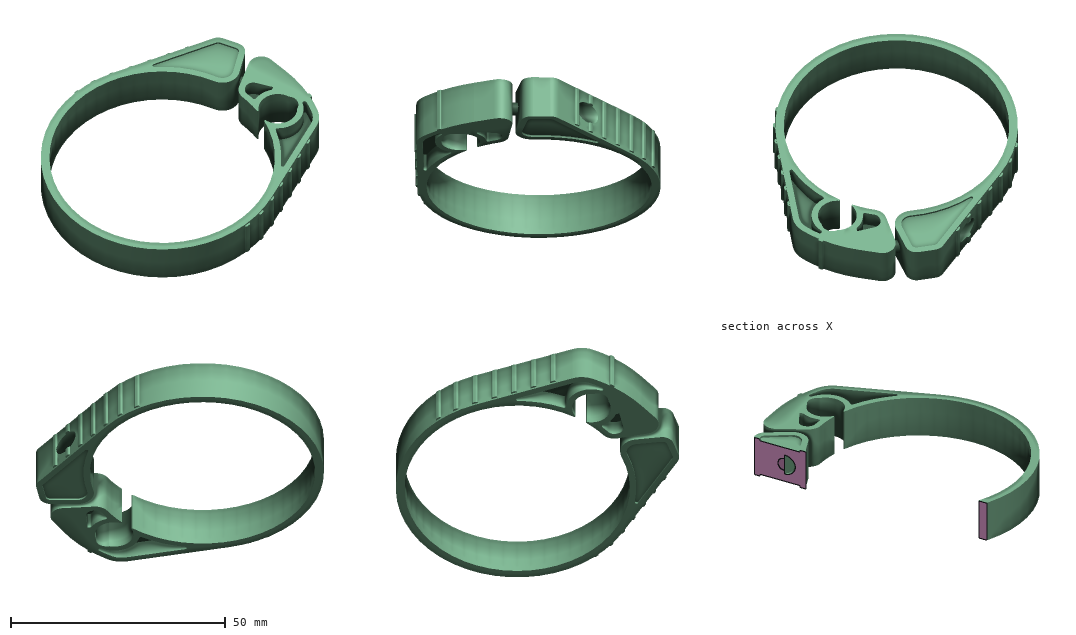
import cadquery as cq
import math


HEIGHT = 10.0
BORE_RADIUS = 26.2
RING_RADIUS = 28.2
SMALL_ROUND = 0.44
WALL = 1.5
FLANK_TILT = 20.0
FAR = 134.4

LEFT_FLANK_ANGLE = 180 - FLANK_TILT
HEAD_TOP_ANGLE = 112.0
HEAD_TOP_DISTANCE = 39.0
HEAD_FACE_ANGLE = 33.0
HEAD_FACE_DISTANCE = 11.8
HEAD_TOP_ROUND = 2.7
HEAD_INNER_ROUND = 4.0
HEAD_POCKET_DEPTH = 0.5

RIGHT_FLANK_ANGLE = FLANK_TILT
ARM_TOP = 39.0
ARM_TOP_RADIUS = 31.6
ARM_TOP_CENTER_X = 1.35
SHOULDER_ANGLE = 65.0
ARM_SHOULDER_ROUND = 6.2
NOSE_TOP_ROUND = 3.1
NOSE_BOTTOM_ROUND = 3.35
ARM_POCKET_DEPTH = 4.0
NOSE_POCKET_END = 18.1
ARM_POCKET_START = 0.95

SCREW_ANGLE = 28.0
SCREW_OFFSET = 31.25
SCREW_DIAMETER = 3.0
SCREW_BORE_DIAMETER = 4.9
SCREW_START = 2.7
NOSE_FACE_DISTANCE = 10.5
SCREW_BORE_REACH = 16.8
SCREW_GRIP = 6.7

CABLE_ANGLE = 74.5
CABLE_DISTANCE = 30.7
CABLE_RADIUS = 4.5
CABLE_LOBE_DIAMETER = 4.9
CABLE_DEPTH = 5.1
CABLE_LOBE_BLEND = 0.8
CABLE_SLOT_WIDTH = 3.2

RIB_COUNT = 7
RIB_STEP_ANGLE = 10.0
RIB_FLANK_STEP = 4.85
RIB_WIDTH = 1.5
RIB_PROTRUSION = 0.5
RIB_END_SETBACK = 0.4
MARK_WIDTH = 1.2
MARK_TIP_DISTANCE = 39.5
MARK_ROUND = 0.3
ROOT = 1.0


def polar(distance, angle):
    """Point at a distance from the ring axis in the direction of an angle in degrees."""
    return (distance * math.cos(math.radians(angle)), distance * math.sin(math.radians(angle)))


def line_corner(angle_a, distance_a, angle_b, distance_b):
    """Crossing point of two lines given by normal angle and distance from the ring axis."""
    cos_a, sin_a = polar(1, angle_a)
    cos_b, sin_b = polar(1, angle_b)
    turn = cos_a * sin_b - sin_a * cos_b
    x = (distance_a * sin_b - distance_b * sin_a) / turn
    y = (distance_b * cos_a - distance_a * cos_b) / turn
    return (x, y)


def circle_corner(angle, distance, radius):
    """Upper crossing of a line (normal angle, distance) with a circle about the ring axis."""
    along = math.sqrt(radius**2 - distance**2)
    x, y = polar(distance, angle)
    side_x, side_y = polar(along, angle + 90)
    if side_y < 0:
        side_x, side_y = -side_x, -side_y
    return (x + side_x, y + side_y)


def radial_block(angle, start, end, width, height=HEIGHT, offset=0):
    """Block lying along a direction, from start to end, its middle shifted sideways by offset."""
    block = cq.Workplane("XY").box(end - start, width, height)
    return block.translate(((start + end) / 2, offset, 0)).rotate((0, 0, 0), (0, 0, 1), angle)


def below(angle, distance):
    """Everything up to the given distance in the direction of the angle."""
    return radial_block(angle, distance - FAR, distance, 2 * FAR)


def disc(radius, center=(0, 0)):
    return cq.Workplane("XY").center(*center).circle(radius).extrude(HEIGHT / 2, both=True)


def round_corner(body, corner, radius):
    """Fillet the upright edge closest to a corner point."""
    selector = cq.selectors.NearestToPointSelector((*corner, 0))
    return body.edges("|Z").edges(selector).fillet(radius)


def sink_pocket(body, pocket, depth):
    """Cut a full-height pocket shape into both end faces of the body, to the given depth."""
    for shift in (HEIGHT - depth, depth - HEIGHT):
        body = body.cut(pocket.translate((0, 0, shift)))
    return body


CABLE_CENTER = polar(CABLE_DISTANCE, CABLE_ANGLE)
ARM_TOP_CENTER = (ARM_TOP_CENTER_X, ARM_TOP - ARM_TOP_RADIUS)


def left_head_shape(inset, top_round, inner_round):
    """Left head outline moved inward by the inset, with its three large corners rounded."""
    flank = (LEFT_FLANK_ANGLE, RING_RADIUS - inset)
    top = (HEAD_TOP_ANGLE, HEAD_TOP_DISTANCE - inset)
    face = (HEAD_FACE_ANGLE, HEAD_FACE_DISTANCE - inset)
    inner_radius = BORE_RADIUS + inset
    shape = below(*flank).intersect(below(*top)).intersect(below(*face))
    shape = shape.intersect(below(LEFT_FLANK_ANGLE + 90, 0)).cut(disc(inner_radius))
    shape = round_corner(shape, line_corner(*flank, *top), top_round)
    shape = round_corner(shape, line_corner(*top, *face), top_round)
    return round_corner(shape, circle_corner(*face, inner_radius), inner_round)


def left_head_pocket():
    pocket = left_head_shape(WALL, HEAD_TOP_ROUND - WALL, HEAD_INNER_ROUND - WALL)
    tip = circle_corner(LEFT_FLANK_ANGLE, RING_RADIUS - WALL, BORE_RADIUS + WALL)
    return round_corner(pocket, tip, SMALL_ROUND)


def right_arm_shape():
    flat_top = below(90, ARM_TOP).intersect(below(0, ARM_TOP_CENTER_X))
    shape = disc(ARM_TOP_RADIUS, ARM_TOP_CENTER).union(flat_top)
    shape = shape.intersect(below(RIGHT_FLANK_ANGLE, RING_RADIUS))
    shape = shape.intersect(below(RIGHT_FLANK_ANGLE - 90, 0))
    shape = shape.intersect(below(SCREW_ANGLE + 180, -NOSE_FACE_DISTANCE))
    shape = shape.cut(disc(BORE_RADIUS))
    nose_top = line_corner(SCREW_ANGLE, NOSE_FACE_DISTANCE, 90, ARM_TOP)
    nose_bottom = circle_corner(SCREW_ANGLE, NOSE_FACE_DISTANCE, BORE_RADIUS)
    shape = round_corner(shape, nose_top, NOSE_TOP_ROUND)
    shape = round_corner(shape, nose_bottom, NOSE_BOTTOM_ROUND)
    shoulder = polar(ARM_TOP, SHOULDER_ANGLE)
    return round_corner(shape, shoulder, ARM_SHOULDER_ROUND)


def pocket_keep_out():
    """Bore and cable hole together with the walls around them."""
    return disc(BORE_RADIUS + WALL).union(disc(CABLE_RADIUS + WALL, CABLE_CENTER))


def arm_pocket():
    pocket = disc(ARM_TOP_RADIUS - WALL, ARM_TOP_CENTER)
    pocket = pocket.intersect(below(RIGHT_FLANK_ANGLE, RING_RADIUS - WALL))
    pocket = pocket.intersect(below(RIGHT_FLANK_ANGLE - 90, 0))
    pocket = pocket.intersect(below(CABLE_ANGLE + 90, -ARM_POCKET_START))
    pocket = pocket.cut(pocket_keep_out())
    shoulder = polar(ARM_TOP - WALL, SHOULDER_ANGLE)
    shoulder_edge = cq.selectors.NearestToPointSelector((*shoulder, 0))
    pocket = pocket.edges("|Z").edges(-shoulder_edge).fillet(SMALL_ROUND)
    return round_corner(pocket, shoulder, ARM_SHOULDER_ROUND - WALL)


def nose_pocket():
    face = NOSE_FACE_DISTANCE + WALL
    roof = SCREW_OFFSET - SCREW_DIAMETER / 2 - WALL
    pocket = below(SCREW_ANGLE + 180, -face).intersect(below(SCREW_ANGLE + 90, roof))
    pocket = pocket.intersect(below(CABLE_ANGLE - 90, 0)).intersect(below(270, 0))
    pocket = pocket.intersect(below(SCREW_ANGLE, NOSE_POCKET_END)).cut(pocket_keep_out())
    upper_corner = line_corner(SCREW_ANGLE, face, SCREW_ANGLE + 90, roof)
    lower_corner = circle_corner(SCREW_ANGLE, face, BORE_RADIUS + WALL)
    pocket = round_corner(pocket, upper_corner, NOSE_BOTTOM_ROUND - WALL)
    pocket = round_corner(pocket, lower_corner, NOSE_BOTTOM_ROUND - WALL)
    for side in (">X", "<Y"):
        pocket = pocket.edges("|Z").edges(side).fillet(SMALL_ROUND)
    return pocket


def cable_hole():
    lobe_radius = CABLE_LOBE_DIAMETER / 2
    lobe_shift = CABLE_DEPTH - lobe_radius
    lobe = disc(lobe_radius, polar(CABLE_DISTANCE + lobe_shift, CABLE_ANGLE))
    hole = disc(CABLE_RADIUS, CABLE_CENTER).union(lobe)
    along = (CABLE_RADIUS**2 - lobe_radius**2 + lobe_shift**2) / (2 * lobe_shift)
    spread = math.degrees(math.acos(along / CABLE_RADIUS))
    for side in (1, -1):
        turn_x, turn_y = polar(CABLE_RADIUS, CABLE_ANGLE + side * spread)
        meeting = (CABLE_CENTER[0] + turn_x, CABLE_CENTER[1] + turn_y)
        hole = round_corner(hole, meeting, CABLE_LOBE_BLEND)
    return hole.union(radial_block(CABLE_ANGLE, 0, CABLE_DISTANCE, CABLE_SLOT_WIDTH))


def grip_ribs():
    """Ribs on both sides, evenly spaced around the ring and then on up the straight flanks."""
    height = HEIGHT - 2 * RIB_END_SETBACK
    tip = RING_RADIUS + RIB_PROTRUSION
    arc_steps = round(FLANK_TILT / RIB_STEP_ANGLE)
    ribs = cq.Workplane("XY")
    for index in range(RIB_COUNT):
        angle = min(index, arc_steps) * RIB_STEP_ANGLE
        along_flank = max(index - arc_steps, 0) * RIB_FLANK_STEP
        rib = radial_block(0, RING_RADIUS - ROOT, tip, RIB_WIDTH, height, along_flank)
        rib = rib.edges("|Z and >X").fillet(RIB_PROTRUSION)
        rib = rib.rotate((0, 0, 0), (0, 0, 1), angle)
        ribs = ribs.add(rib).add(rib.mirror("YZ"))
    return ribs.combine()


def position_mark():
    """Single full-height rib on top of the arm, in line with the cable hole."""
    mark = radial_block(0, MARK_TIP_DISTANCE - ROOT, MARK_TIP_DISTANCE, MARK_WIDTH)
    return mark.edges("|Z and >X").fillet(MARK_ROUND).rotate((0, 0, 0), (0, 0, 1), CABLE_ANGLE)


def screw_cylinder(diameter, start, end):
    """Cylinder on the screw axis between two places along it."""
    cylinder = cq.Workplane("YZ").circle(diameter / 2).extrude(end - start)
    cylinder = cylinder.translate((start, SCREW_OFFSET, 0))
    return cylinder.rotate((0, 0, 0), (0, 0, 1), SCREW_ANGLE)


def make_screw():
    return screw_cylinder(SCREW_DIAMETER, SCREW_START, NOSE_FACE_DISTANCE + SCREW_GRIP)


def make_clamp():
    clamp = disc(RING_RADIUS).cut(disc(BORE_RADIUS))
    heads = left_head_shape(0, HEAD_TOP_ROUND, HEAD_INNER_ROUND).union(right_arm_shape())
    ring_part = below(LEFT_FLANK_ANGLE - 90, 0).union(below(RIGHT_FLANK_ANGLE + 90, 0))
    clamp = clamp.intersect(ring_part).union(heads)
    clamp = clamp.union(grip_ribs()).union(position_mark()).cut(cable_hole())
    clamp = sink_pocket(clamp, left_head_pocket(), HEAD_POCKET_DEPTH)
    clamp = sink_pocket(clamp, arm_pocket(), ARM_POCKET_DEPTH)
    clamp = sink_pocket(clamp, nose_pocket(), ARM_POCKET_DEPTH)
    bore_mouth = SCREW_START - SCREW_BORE_REACH
    clamp = clamp.cut(screw_cylinder(SCREW_BORE_DIAMETER, bore_mouth, SCREW_START))
    return clamp.cut(make_screw())


clamp = make_clamp()
screw = make_screw()
result = cq.Compound.makeCompound([clamp.val(), screw.val()])